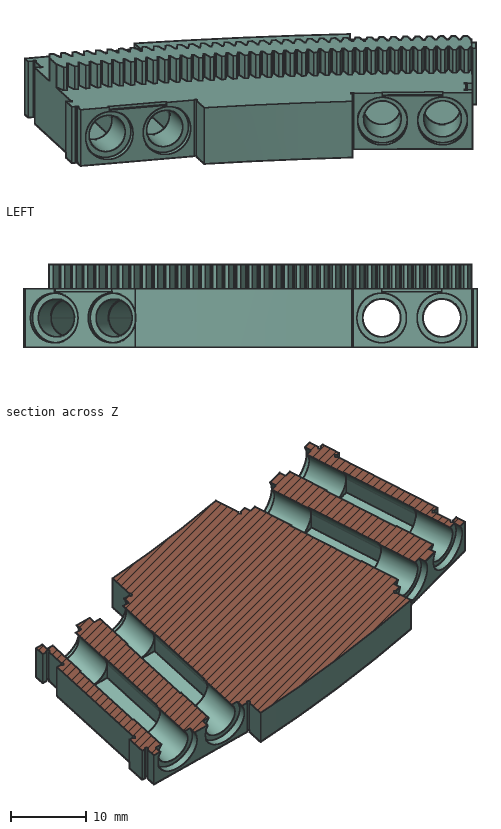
import cadquery as cq
import math

segments_per_circle = 22
track_radius = 198.0
segment_angle = 360.0 / segments_per_circle

stud_pitch = 8.0
plate_height = 7.8
plate_half_width = 15.875
arm_half_width = 12.7
arm_length = 2 * stud_pitch
corner_relief_radius = 0.2
cut_overrun = 1.0

key_offset = 9.7
key_width = 2.75
key_height = 0.7
keyway_width = 3.0
keyway_depth = 0.9

pin_positions = (0.5 * stud_pitch, 1.5 * stud_pitch)
pin_axis_height = plate_height / 2
pin_diameter = 5.0
pin_flange_diameter = 6.6
pin_flange_depth = 1.0

chamber_width = 5.2
chamber_wall = 7.0

edge_step_depth = 0.4
edge_step_height = 0.4

rack_height = 3.2
tooth_count = 36
tooth_root_offset = 1.65
tooth_tip_offset = 3.27
tooth_root_gap = 0.2
tooth_tip_width = 0.52


def box(x_min, x_max, y_min, y_max, z_min, z_max):
    """Axis-aligned block between the given limits."""
    size = (x_max - x_min, y_max - y_min, z_max - z_min)
    return cq.Workplane("XY").box(*size, centered=False).translate((x_min, y_min, z_min))


def at_exit_end(shape):
    """Carry a shape built at the entry end to the mirrored place at the exit end."""
    pivot = (track_radius, 0, 0)
    pivot_axis_end = (track_radius, 0, 1)
    return shape.mirror("XZ").rotate(pivot, pivot_axis_end, -segment_angle)


def track_point(offset, angle):
    """Point at an angle along the track; positive offsets lie outside the centreline."""
    radius = track_radius + offset
    return (track_radius - radius * math.cos(angle), radius * math.sin(angle))


def curved_plate():
    """Ring sector spanning the whole segment at full width."""
    angle = math.radians(segment_angle)
    return (
        cq.Workplane("XY")
        .moveTo(*track_point(plate_half_width, 0))
        .threePointArc(track_point(plate_half_width, angle / 2), track_point(plate_half_width, angle))
        .lineTo(*track_point(-plate_half_width, angle))
        .threePointArc(track_point(-plate_half_width, angle / 2), track_point(-plate_half_width, 0))
        .close()
        .extrude(plate_height)
    )


def corner_reliefs(points):
    """Small round reliefs through the plate at inside corners."""
    return cq.Workplane("XY").pushPoints(points).circle(corner_relief_radius).extrude(plate_height)


def arm_side_cuts():
    """Material beside the arm at the entry end, with the shoulder corner reliefs."""
    beyond_plate = plate_half_width + cut_overrun
    left = box(-beyond_plate, -arm_half_width, -cut_overrun, arm_length, 0, plate_height)
    right = box(arm_half_width, beyond_plate, -cut_overrun, arm_length, 0, plate_height)
    corners = [(side * arm_half_width, arm_length) for side in (-1, 1)]
    return left.union(right).union(corner_reliefs(corners))


def cross_cylinder(y, diameter, x_min, x_max):
    """Cylinder along X at pin height."""
    return (
        cq.Workplane("YZ", origin=(x_min, y, pin_axis_height))
        .circle(diameter / 2)
        .extrude(x_max - x_min)
    )


def pin_chamber(y):
    """Hollow between the bores: half-round roof, flat sides and flat floor."""
    radius = chamber_width / 2
    x_end = arm_half_width - chamber_wall
    roof = cross_cylinder(y, chamber_width, -x_end, x_end)
    floor_z = pin_axis_height - radius
    lower_half = box(-x_end, x_end, y - radius, y + radius, floor_z, pin_axis_height)
    return roof.union(lower_half)


def pin_hole(y):
    """Through bore with a flange recess at each mouth and the arched chamber in the middle."""
    flange_floor = arm_half_width - pin_flange_depth
    bore = cross_cylinder(y, pin_diameter, -arm_half_width, arm_half_width)
    left_recess = cross_cylinder(y, pin_flange_diameter, -arm_half_width, -flange_floor)
    right_recess = cross_cylinder(y, pin_flange_diameter, flange_floor, arm_half_width)
    return bore.union(left_recess).union(right_recess).union(pin_chamber(y))


def edge_steps():
    """Shallow steps along both top side edges of the arm."""
    y_min, y_max = pin_positions
    z_min = plate_height - edge_step_height
    step_floor = arm_half_width - edge_step_depth
    left = box(-arm_half_width, -step_floor, y_min, y_max, z_min, plate_height)
    right = box(step_floor, arm_half_width, y_min, y_max, z_min, plate_height)
    return left.union(right)


def key(center_x):
    """Key standing out from the entry end face."""
    half = key_width / 2
    return box(center_x - half, center_x + half, -key_height, key_height, 0, plate_height)


def key_reliefs(center_x):
    """Round reliefs where the key meets the end face."""
    half = key_width / 2
    return corner_reliefs([(center_x - half, 0), (center_x + half, 0)])


def keyway(center_x):
    """Slot in the entry end face, with reliefs in its inner corners."""
    half = keyway_width / 2
    slot = box(center_x - half, center_x + half, 0, keyway_depth, 0, plate_height)
    corners = [(center_x - half, keyway_depth), (center_x + half, keyway_depth)]
    return slot.union(corner_reliefs(corners))


def tooth_edge(side):
    """Zigzag points of one rack flank, from the entry end to the exit end."""
    pitch_angle = math.radians(segment_angle) / tooth_count
    root_half_angle = tooth_root_gap / 2 / track_radius
    tip_half_angle = tooth_tip_width / 2 / track_radius
    root = side * tooth_root_offset
    tip = side * tooth_tip_offset
    points = [track_point(root, 0)]
    for index in range(tooth_count):
        start = index * pitch_angle
        middle = start + pitch_angle / 2
        end = start + pitch_angle
        points.append(track_point(root, start + root_half_angle))
        points.append(track_point(tip, middle - tip_half_angle))
        points.append(track_point(tip, middle + tip_half_angle))
        points.append(track_point(root, end - root_half_angle))
    points.append(track_point(root, tooth_count * pitch_angle))
    return points


def rack():
    """Toothed rack standing on the plate."""
    outline = tooth_edge(1) + tooth_edge(-1)[::-1]
    return cq.Workplane("XY", origin=(0, 0, plate_height)).polyline(outline).close().extrude(rack_height)


body = curved_plate().union(key(key_offset)).union(at_exit_end(key(-key_offset)))

arm_cuts = [arm_side_cuts(), edge_steps()] + [pin_hole(y) for y in pin_positions]
for cut in arm_cuts:
    body = body.cut(cut).cut(at_exit_end(cut))

body = body.cut(key_reliefs(key_offset)).cut(keyway(-key_offset))
body = body.cut(at_exit_end(key_reliefs(-key_offset))).cut(at_exit_end(keyway(key_offset)))

result = body.union(rack())